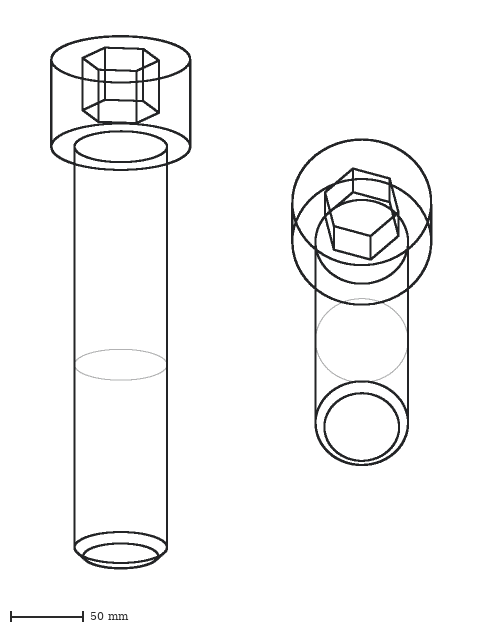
import cadquery as cq
import math

total_length = 364
head_diameter = 96.0
shank_diameter = 64.0
head_height = shank_diameter
thread_length = 140.0
tip_chamfer = 6.2
socket_across_flats = 46.0
socket_depth = 38.2

shank_length = total_length - head_height
plain_length = shank_length - thread_length
hexagon_sides = 6


def make_head():
    return cq.Workplane("XY").circle(head_diameter / 2).extrude(head_height)


def make_plain_shank():
    return cq.Workplane("XY").circle(shank_diameter / 2).extrude(-plain_length)


def make_threaded_end():
    """Thread envelope with a chamfered tip."""
    tip = cq.Workplane("XY").workplane(offset=-shank_length)
    blank = tip.circle(shank_diameter / 2).extrude(thread_length)
    return blank.faces("<Z").chamfer(tip_chamfer)


def make_socket():
    """Hexagonal key socket with corners on the X axis and flats facing Y."""
    floor = cq.Workplane("XY").workplane(offset=head_height - socket_depth)
    across_corners = socket_across_flats / math.cos(math.pi / hexagon_sides)
    return floor.polygon(hexagon_sides, across_corners).extrude(socket_depth)


body = make_head().union(make_plain_shank()).union(make_threaded_end(), clean=False)
result = body.cut(make_socket(), clean=False)